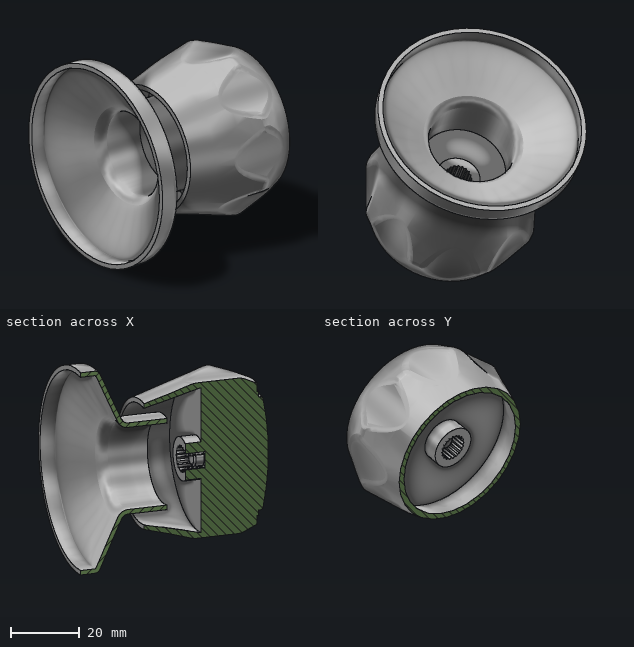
import cadquery as cq
import math


TOLERANCE = 0.005

WALL = 1.5
RIM_RADIUS = 31.0
NECK_RADIUS = 14.3
NECK_END_Y = 26.9
RIM_CORNER_Y = 5.65
FLARE_ANGLE = 25.0
BEND_RADIUS = 2.0

KNOB_BOTTOM_Y = 19.7
KNOB_BOTTOM_RADIUS = 19.45
RIDGE_Y = 44.2
RIDGE_RADIUS = 26.5
KNOB_TOP_Y = 54.95
KNOB_TOP_RADIUS = 21.75
KNOB_ROUND = 3.2

STEP_RADIUS = 19.2
STEP_HEIGHT = 0.5
CAP_RADIUS = 17.6
CAP_SIDE = 0.45
CAP_ROUND = 1.0
DOME_TOP_Y = 58.5

DIMPLE_COUNT = 8
DIMPLE_RADIUS = 19.2
DIMPLE_FLOOR = 23.45

BORE_MOUTH_RADIUS = KNOB_BOTTOM_RADIUS - WALL
DIMPLE_WALL = 1.2
BORE_CEILING_RADIUS = DIMPLE_FLOOR - DIMPLE_WALL
BORE_CEILING_Y = 37.45
HUB_RADIUS = 6.5
HUB_LENGTH = 4.95
SPLINE_TEETH = 20
SPLINE_TIP_RADIUS = 4.0
SPLINE_ROOT_RADIUS = 3.6
SPLINE_DEPTH = 6.2
PIN_RADIUS = 2.6
PIN_LENGTH = 3.1
PIN_CHAMFER = 0.55


def turn(profile):
    """Revolve a closed (radius, y) profile about the Y axis."""
    return profile.close().revolve(360, (0, 0, 0), (0, 1, 0))


def disc(radius, start_y, end_y):
    """Cylinder on the Y axis between two Y positions."""
    plane = cq.Plane((0, start_y, 0), xDir=(1, 0, 0), normal=(0, 1, 0))
    return cq.Workplane(plane).circle(radius).extrude(end_y - start_y)


def round_circle(body, radius, y, fillet_radius):
    """Round the circular edge that lies at the given radius and Y position."""
    circle = body.edges("%CIRCLE").filter(
        lambda edge: abs(edge.radius() - radius) < TOLERANCE and abs(edge.Center().y - y) < TOLERANCE
    )
    return circle.fillet(fillet_radius)


def make_rosette():
    slope = math.tan(math.radians(FLARE_ANGLE))
    drop = WALL / math.cos(math.radians(FLARE_ANGLE))
    inner_rim = RIM_RADIUS - WALL
    inner_neck = NECK_RADIUS - WALL

    def flare_y(radius):
        return RIM_CORNER_Y + (RIM_RADIUS - radius) * slope

    neck_corner_y = flare_y(NECK_RADIUS)
    inner_rim_y = flare_y(inner_rim) - drop
    inner_neck_y = flare_y(inner_neck) - drop
    body = turn(
        cq.Workplane("XY")
        .moveTo(inner_rim, 0)
        .lineTo(RIM_RADIUS, 0)
        .lineTo(RIM_RADIUS, RIM_CORNER_Y)
        .lineTo(NECK_RADIUS, neck_corner_y)
        .lineTo(NECK_RADIUS, NECK_END_Y)
        .lineTo(inner_neck, NECK_END_Y)
        .lineTo(inner_neck, inner_neck_y)
        .lineTo(inner_rim, inner_rim_y)
    )
    body = round_circle(body, RIM_RADIUS, RIM_CORNER_Y, BEND_RADIUS)
    body = round_circle(body, inner_rim, inner_rim_y, BEND_RADIUS - WALL)
    body = round_circle(body, NECK_RADIUS, neck_corner_y, BEND_RADIUS)
    return round_circle(body, inner_neck, inner_neck_y, BEND_RADIUS + WALL)


def make_knob_blank():
    """Solid double cone with finger dimples, its ridge and dimple edges rounded."""
    blank = turn(
        cq.Workplane("XY")
        .moveTo(0, KNOB_BOTTOM_Y)
        .lineTo(KNOB_BOTTOM_RADIUS, KNOB_BOTTOM_Y)
        .lineTo(RIDGE_RADIUS, RIDGE_Y)
        .lineTo(KNOB_TOP_RADIUS, KNOB_TOP_Y)
        .lineTo(0, KNOB_TOP_Y)
    )
    dimple = disc(DIMPLE_RADIUS, KNOB_BOTTOM_Y, KNOB_TOP_Y).translate((0, 0, DIMPLE_FLOOR + DIMPLE_RADIUS))
    for index in range(DIMPLE_COUNT):
        blank = blank.cut(dimple.rotate((0, 0, 0), (0, 1, 0), index * 360 / DIMPLE_COUNT))
    ridge_and_dimples = blank.edges().filter(
        lambda edge: edge.BoundingBox().ymin > KNOB_BOTTOM_Y + TOLERANCE
        and edge.BoundingBox().ymax < KNOB_TOP_Y - TOLERANCE
    )
    return ridge_and_dimples.fillet(KNOB_ROUND)


def make_knob_top():
    """Thin step and domed cap that close the knob."""
    cap_y = KNOB_TOP_Y + STEP_HEIGHT
    round_y = cap_y + CAP_SIDE
    dome_y = round_y + CAP_ROUND
    dome_edge = CAP_RADIUS - CAP_ROUND
    sagitta = DOME_TOP_Y - dome_y
    dome_radius = (dome_edge ** 2 + sagitta ** 2) / (2 * sagitta)
    return turn(
        cq.Workplane("XY")
        .moveTo(0, KNOB_TOP_Y)
        .lineTo(STEP_RADIUS, KNOB_TOP_Y)
        .lineTo(STEP_RADIUS, cap_y)
        .lineTo(CAP_RADIUS, cap_y)
        .lineTo(CAP_RADIUS, round_y)
        .radiusArc((dome_edge, dome_y), -CAP_ROUND)
        .radiusArc((0, DOME_TOP_Y), -dome_radius)
    )


def make_bore():
    """Conical bore that widens from the mouth up to its flat ceiling."""
    return turn(
        cq.Workplane("XY")
        .moveTo(0, KNOB_BOTTOM_Y)
        .lineTo(BORE_MOUTH_RADIUS, KNOB_BOTTOM_Y)
        .lineTo(BORE_CEILING_RADIUS, BORE_CEILING_Y)
        .lineTo(0, BORE_CEILING_Y)
    )


def make_spline(start_y):
    """Star-shaped prism that cuts the splined hole into the hub."""
    points = []
    for index in range(2 * SPLINE_TEETH):
        radius = SPLINE_ROOT_RADIUS if index % 2 else SPLINE_TIP_RADIUS
        angle = math.pi * index / SPLINE_TEETH
        points.append((radius * math.cos(angle), radius * math.sin(angle)))
    plane = cq.Plane((0, start_y, 0), xDir=(1, 0, 0), normal=(0, 1, 0))
    return cq.Workplane(plane).polyline(points).close().extrude(SPLINE_DEPTH)


def make_knob():
    hub_y = BORE_CEILING_Y - HUB_LENGTH
    hole_end_y = hub_y + SPLINE_DEPTH
    hub = disc(HUB_RADIUS, hub_y, BORE_CEILING_Y)
    pin = disc(PIN_RADIUS, hole_end_y - PIN_LENGTH, hole_end_y).faces("<Y").chamfer(PIN_CHAMFER)
    return (
        make_knob_blank()
        .union(make_knob_top())
        .cut(make_bore())
        .union(hub)
        .cut(make_spline(hub_y))
        .union(pin)
    )


rosette = make_rosette()
knob = make_knob()

result = cq.Compound.makeCompound([rosette.solids().val(), knob.solids().val()])